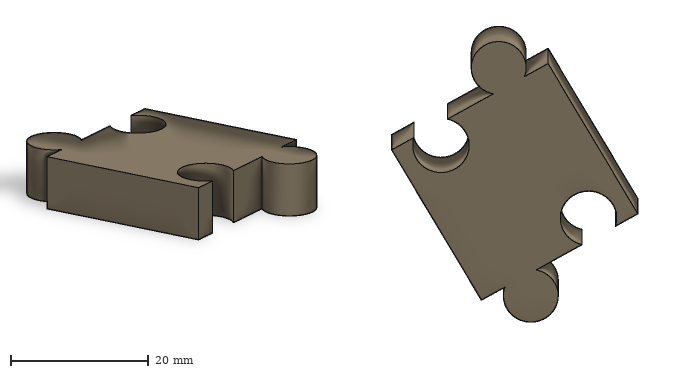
import cadquery as cq

body_side = 26.25
thickness = 8.0
knob_radius = 4.0
socket_clearance = 0.1
center_offset = 3.0

socket_radius = knob_radius + socket_clearance
half_side = body_side / 2
row_y = body_side / 4
knob_x = half_side + center_offset
socket_x = half_side - center_offset


def cylinders(points, radius):
    """Full-thickness vertical cylinders centered on the given XY points."""
    return cq.Workplane("XY").pushPoints(points).circle(radius).extrude(thickness)


body = cq.Workplane("XY").rect(body_side, body_side).extrude(thickness)
knobs = cylinders([(knob_x, row_y), (-knob_x, -row_y)], knob_radius)
sockets = cylinders([(-socket_x, row_y), (socket_x, -row_y)], socket_radius)

result = body.union(knobs).cut(sockets)